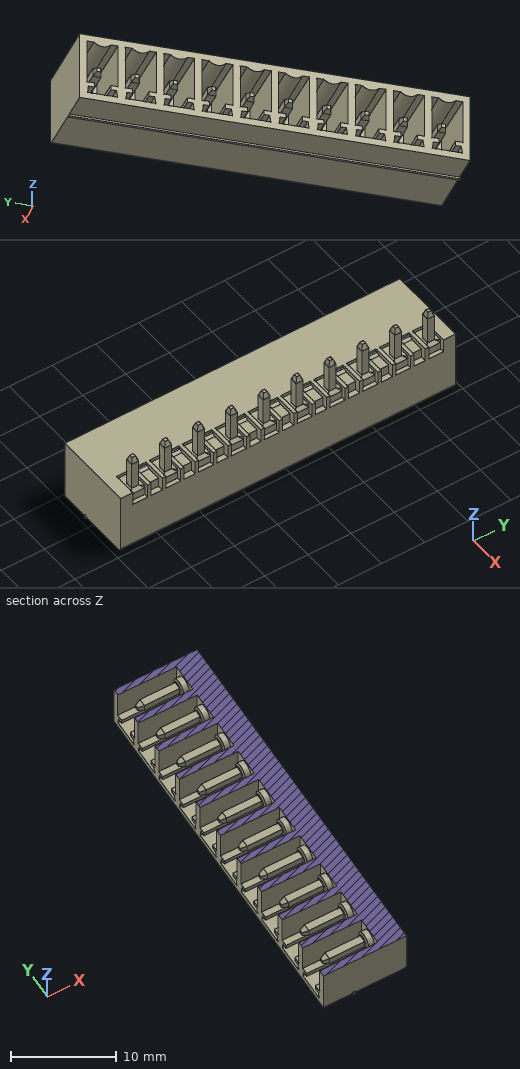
import cadquery as cq


pin_count = 10
pitch = 3.8
first_pin_y = -pitch * (pin_count - 1) / 2
pin_positions = [first_pin_y + i * pitch for i in range(pin_count)]
gap_positions = [y + pitch / 2 for y in pin_positions[:-1]]

body_depth = 9.2
body_length = 38.85
body_height = 7.05
rear_edge_radius = 0.43

rib_x = 3.4
rib_width = 0.27
rib_height = 0.2
rib_overhang = 0.05

socket_depth = 6.45
socket_mouth_width = 3.07
socket_back_width = 2.95
socket_floor = 0.7
socket_roof = 6.35
key_bottom = 1.4
key_top = 1.85
key_gap = 1.65
foot_top_width = 2.75
foot_bottom_width = 3.0
roof_bulge_width = 1.7
roof_bulge_drop = 0.35

pin_size = 0.8
pin_tip_size = 0.4
pin_taper = 0.62
contact_z = 4.1
contact_tip_x = 1.15
leg_x = 7.97
leg_height = 3.42
leg_top = body_height + leg_height

collar_diameter = 1.8
collar_length = 0.78
collar_bevel_length = 0.15
collar_bevel_width = 0.2

recess_front_x = 6.55
leg_recess_width = 1.7
leg_recess_depth = 0.35
leg_step_x = 8.75
gap_recess_width = 1.3
gap_ledge_end_x = 6.73
gap_ledge_depth = 0.27
gap_floor_start_x = 7.05
gap_floor_depth = 0.5
gap_step_x = 8.6
rear_step_depth = 1.55

ramp_drop = 0.35


def make_body():
    body = cq.Workplane("XY").box(body_depth, body_length, body_height, centered=(False, True, False))
    return body.edges(">X and <Z").fillet(rear_edge_radius)


def make_rib():
    """Rib with its upper half sunk into the housing."""
    rib = cq.Workplane("XY").box(
        rib_width, body_length + rib_overhang, 2 * rib_height, centered=(True, True, True)
    )
    return rib.translate((rib_x, -rib_overhang / 2, 0))


def draw_socket(plane, width):
    """Socket outline: wide upper chamber, two key ribs, flared foot, bulge in the roof."""
    half = width / 2
    bulge = roof_bulge_width / 2
    neck = key_gap / 2
    foot_top = foot_top_width / 2
    foot_bottom = foot_bottom_width / 2
    return (
        plane
        .moveTo(-half, socket_roof)
        .lineTo(-bulge, socket_roof)
        .threePointArc((0, socket_roof - roof_bulge_drop), (bulge, socket_roof))
        .lineTo(half, socket_roof)
        .lineTo(half, key_top)
        .lineTo(neck, key_top)
        .lineTo(neck, key_bottom)
        .lineTo(foot_top, key_bottom)
        .lineTo(foot_bottom, socket_floor)
        .lineTo(-foot_bottom, socket_floor)
        .lineTo(-foot_top, key_bottom)
        .lineTo(-neck, key_bottom)
        .lineTo(-neck, key_top)
        .lineTo(-half, key_top)
        .close()
    )


def make_socket(y):
    """Keyed socket whose chamber walls draw in slightly towards the back."""
    mouth = draw_socket(cq.Workplane("YZ", origin=(0, y, 0)), socket_mouth_width)
    both_ends = draw_socket(mouth.workplane(offset=socket_depth), socket_back_width)
    return both_ends.loft(ruled=True)


def make_leg_recess(y):
    """Recess around a leg: flat floor, deeper rear step, and a ramp fanning out from leg to step."""
    floor_z = body_height - leg_recess_depth
    floor_and_step = (
        cq.Workplane("XZ", origin=(0, y, body_height))
        .moveTo(recess_front_x, 0)
        .lineTo(recess_front_x, -leg_recess_depth)
        .lineTo(leg_step_x, -leg_recess_depth)
        .lineTo(leg_step_x, -rear_step_depth)
        .lineTo(body_depth, -rear_step_depth)
        .lineTo(body_depth, 0)
        .close()
        .extrude(leg_recess_width / 2, both=True)
    )
    leg_back_x = leg_x + pin_size / 2
    ramp = (
        cq.Workplane("XZ", origin=(0, y, floor_z))
        .moveTo(leg_back_x, 0)
        .lineTo(leg_step_x, 0)
        .lineTo(leg_step_x, -ramp_drop)
        .close()
        .extrude(leg_recess_width / 2, both=True)
    )
    fan = (
        cq.Workplane("XY", origin=(0, y, floor_z))
        .moveTo(leg_back_x, -pin_size / 2)
        .lineTo(leg_step_x, -leg_recess_width / 2)
        .lineTo(leg_step_x, leg_recess_width / 2)
        .lineTo(leg_back_x, pin_size / 2)
        .close()
        .extrude(-ramp_drop)
    )
    return floor_and_step.union(ramp.intersect(fan))


def make_gap_recess(y):
    """Recess between two legs: ledge, ramp, floor and a deeper step at the rear."""
    return (
        cq.Workplane("XZ", origin=(0, y, body_height))
        .moveTo(recess_front_x, 0)
        .lineTo(recess_front_x, -gap_ledge_depth)
        .lineTo(gap_ledge_end_x, -gap_ledge_depth)
        .lineTo(gap_floor_start_x, -gap_floor_depth)
        .lineTo(gap_step_x, -gap_floor_depth)
        .lineTo(gap_step_x, -rear_step_depth)
        .lineTo(body_depth, -rear_step_depth)
        .lineTo(body_depth, 0)
        .close()
        .extrude(gap_recess_width / 2, both=True)
    )


def make_square_pin(length):
    """Square pin along +Z from the origin, ending in a tapered tip."""
    straight = length - pin_taper
    shank = cq.Workplane("XY").rect(pin_size, pin_size).extrude(straight)
    tip = (
        cq.Workplane("XY", origin=(0, 0, straight))
        .rect(pin_size, pin_size)
        .workplane(offset=pin_taper)
        .rect(pin_tip_size, pin_tip_size)
        .loft(combine=True)
    )
    return shank.union(tip)


def make_contact(y):
    """Right-angle pin: contact pointing to -X in the socket, leg rising to +Z."""
    leg_bottom = contact_z - pin_size / 2
    leg = make_square_pin(leg_top - leg_bottom).translate((leg_x, y, leg_bottom))
    contact = make_square_pin(leg_x - contact_tip_x).rotate((0, 0, 0), (0, 1, 0), -90)
    return leg.union(contact.translate((leg_x, y, contact_z)))


def make_collar(y):
    collar = cq.Workplane("YZ", origin=(socket_depth, y, contact_z))
    collar = collar.circle(collar_diameter / 2).extrude(-collar_length)
    return collar.faces("<X").chamfer(collar_bevel_length, collar_bevel_width)


result = make_body().union(make_rib())
for y in gap_positions:
    result = result.cut(make_gap_recess(y))
for y in pin_positions:
    result = result.cut(make_socket(y)).cut(make_leg_recess(y))
    result = result.union(make_collar(y)).union(make_contact(y))